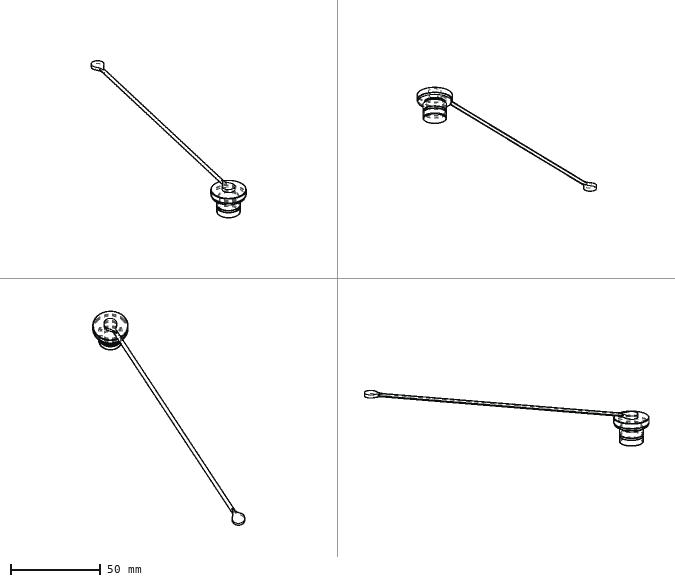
import cadquery as cq
import math

length = 163.5
height = 17.0
strap_thickness = 2.0

flange_radius = 10.0
flange_edge_chamfer = 0.3
flange_step_radius = 9.5
neck_radius = 5.7
body_radius = 6.7
groove_radius = 6.2
body_chamfer = 0.5
flange_top = height - strap_thickness
flange_step_top = 11.8
flange_bottom = 10.6
neck_bottom = 10.0
body_top = 8.8
groove_top = 4.9
groove_bottom = 3.6
plug_x = length - flange_radius

pad_radius = 3.6
cord_half_width = 1.1
cord_half_height = strap_thickness / 2
shoulder_x = 2.5
waist_x = 4.4
waist_half_width = 1.1
tip_x = 7.4
tip_half_width = 0.3
strap_z = height - cord_half_height
strap_middle = (plug_x + pad_radius) / 2


def make_plug():
    """Revolved plug: stepped flange, neck and grooved body."""
    profile = [
        (0, 0),
        (body_radius - body_chamfer, 0),
        (body_radius, body_chamfer),
        (body_radius, groove_bottom),
        (groove_radius, groove_bottom),
        (groove_radius, groove_top),
        (body_radius, groove_top),
        (body_radius, body_top),
        (neck_radius, neck_bottom),
        (neck_radius, flange_bottom),
        (flange_step_radius, flange_bottom),
        (flange_step_radius, flange_step_top),
        (flange_radius, flange_step_top),
        (flange_radius, flange_top - flange_edge_chamfer),
        (flange_radius - flange_edge_chamfer, flange_top),
        (0, flange_top),
    ]
    plug = cq.Workplane("XZ").polyline(profile).close().revolve(360, (0, 0), (0, 1))
    return plug.translate((plug_x, 0, 0))


def make_pad():
    """Flat teardrop at the plug, whose concave flanks run into the cord."""
    shoulder_half_width = math.sqrt(pad_radius**2 - shoulder_x**2)
    return (
        cq.Workplane("XY", origin=(plug_x, 0, flange_top))
        .moveTo(-shoulder_x, shoulder_half_width)
        .threePointArc((pad_radius, 0), (-shoulder_x, -shoulder_half_width))
        .threePointArc((-waist_x, -waist_half_width), (-tip_x, -tip_half_width))
        .lineTo(-tip_x, tip_half_width)
        .threePointArc((-waist_x, waist_half_width), (-shoulder_x, shoulder_half_width))
        .close()
        .extrude(strap_thickness)
    )


def make_half_cord():
    """Upper and lower arcs meeting at the sides; the cord is flush with the pad top and bottom."""
    return (
        cq.Workplane("YZ", origin=(strap_middle, 0, strap_z))
        .moveTo(cord_half_width, 0)
        .threePointArc((0, cord_half_height), (-cord_half_width, 0))
        .threePointArc((0, -cord_half_height), (cord_half_width, 0))
        .close()
        .extrude(plug_x - strap_middle)
    )


half_strap = make_half_cord().union(make_pad())
strap = half_strap.union(half_strap.mirror("YZ", (strap_middle, 0, 0)))

result = make_plug().union(strap)